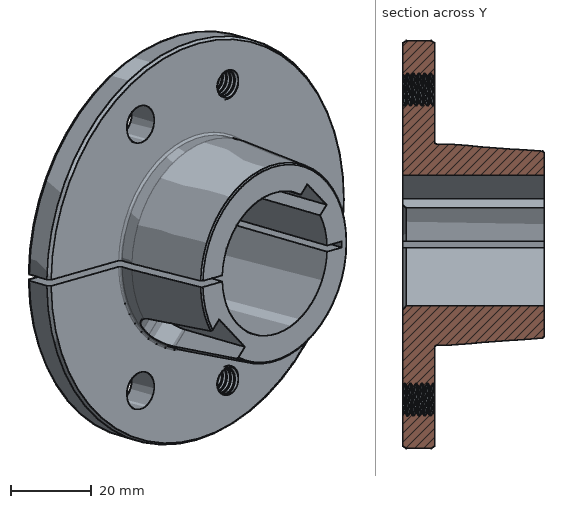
import cadquery as cq
import math

INCH = 25.4

flange_diameter = 4.0625 * INCH
flange_thickness = 0.3125 * INCH
flange_chamfer_axial = 0.9
flange_chamfer_radial = 0.6

total_length = 35.0
hub_diameter = 2.125 * INCH
hub_end_diameter = 2.0 * INCH
hub_straight_end = 12.0
hub_root_fillet = 0.6
hub_end_chamfer = 0.4

bore_diameter = 1.4375 * INCH
bore_chamfer = 0.9
keyway_width = 0.375 * INCH
keyway_bottom = 20.8

key_slot_width = 0.5 * INCH
key_slot_floor = 21.0
key_slot_start = 9.0
key_slot_corner = 5.0
key_angle = 45.0

split_width = 0.0625 * INCH
split_end = 23.4

bolt_circle_radius = 3.125 * INCH / 2
bolt_hole_diameter = 0.375 * INCH
bolt_hole_angles = (0.0, 120.0, 240.0)
jack_hole_angle = 75.0
drill_overrun = 4.0

thread_pitch = INCH / 18
thread_minor_radius = 6.6 / 2
thread_major_radius = 0.3125 * INCH / 2
groove_bottom_width = thread_pitch / 8
groove_mouth_width = thread_pitch * 7 / 8
thread_overlap = 0.2
thread_phase = 230.0

flange_radius = flange_diameter / 2
hub_radius = hub_diameter / 2
hub_end_radius = hub_end_diameter / 2
bore_radius = bore_diameter / 2


def make_body():
    """Flange and tapered hub, turned about the X axis."""
    fillet_middle = hub_root_fillet * (1 - math.sqrt(0.5))
    profile = (
        cq.Workplane("XY")
        .moveTo(0, bore_radius + bore_chamfer)
        .lineTo(0, flange_radius - flange_chamfer_radial)
        .lineTo(flange_chamfer_axial, flange_radius)
        .lineTo(flange_thickness - flange_chamfer_axial, flange_radius)
        .lineTo(flange_thickness, flange_radius - flange_chamfer_radial)
        .lineTo(flange_thickness, hub_radius + hub_root_fillet)
        .threePointArc(
            (flange_thickness + fillet_middle, hub_radius + fillet_middle),
            (flange_thickness + hub_root_fillet, hub_radius),
        )
        .lineTo(hub_straight_end, hub_radius)
        .lineTo(total_length - hub_end_chamfer, hub_end_radius)
        .lineTo(total_length, hub_end_radius - hub_end_chamfer)
        .lineTo(total_length, bore_radius)
        .lineTo(bore_chamfer, bore_radius)
        .close()
    )
    return profile.revolve(360, (0, 0, 0), (1, 0, 0))


def block(x_range, y_range, width):
    """Box spanning the given X and Y ranges, centred on Z = 0."""
    length = x_range[1] - x_range[0]
    depth = y_range[1] - y_range[0]
    return (
        cq.Workplane("XY")
        .box(length, depth, width, centered=(False, False, True))
        .translate((x_range[0], y_range[0], 0))
    )


def about_x(shape, angle):
    """Turn a shape about the X axis; positive angles go from +Y to +Z."""
    return shape.rotate((0, 0, 0), (1, 0, 0), angle)


def make_keyway():
    keyway = block((0, total_length), (0, keyway_bottom), keyway_width)
    return about_x(keyway, key_angle)


def make_key_slot():
    slot = block((key_slot_start, total_length), (key_slot_floor, flange_radius), key_slot_width)
    slot = slot.edges("|Y and <X").fillet(key_slot_corner)
    return about_x(slot, key_angle + 180)


def make_split():
    return block((0, total_length), (-flange_radius, split_end), split_width)


def hole(radius, angle):
    """Drill through the flange on the bolt circle, standing out past both faces."""
    cylinder = (
        cq.Workplane("YZ", origin=(-drill_overrun, 0, 0))
        .center(bolt_circle_radius, 0)
        .circle(radius)
        .extrude(flange_thickness + 2 * drill_overrun)
    )
    return about_x(cylinder, angle)


def make_thread_groove():
    """Helical thread groove of the upper jack hole, running past both flange faces."""
    inner_radius = thread_minor_radius - thread_overlap
    length = flange_thickness + 2 * thread_pitch
    helix = cq.Wire.makeHelix(thread_pitch, length, inner_radius)
    groove = (
        cq.Workplane("XZ")
        .moveTo(inner_radius, -groove_mouth_width / 2)
        .lineTo(thread_major_radius, -groove_bottom_width / 2)
        .lineTo(thread_major_radius, groove_bottom_width / 2)
        .lineTo(inner_radius, groove_mouth_width / 2)
        .close()
        .sweep(cq.Workplane(obj=helix), isFrenet=True)
    )
    hole_angle = math.radians(jack_hole_angle)
    center_y = bolt_circle_radius * math.cos(hole_angle)
    center_z = bolt_circle_radius * math.sin(hole_angle)
    return (
        groove
        .rotate((0, 0, 0), (0, 1, 0), 90)
        .rotate((0, 0, 0), (1, 0, 0), thread_phase)
        .translate((-thread_pitch, center_y, center_z))
    )


result = make_body()
result = result.cut(make_keyway()).cut(make_key_slot()).cut(make_split())

for bolt_angle in bolt_hole_angles:
    result = result.cut(hole(bolt_hole_diameter / 2, bolt_angle))

thread_groove = make_thread_groove()
result = result.cut(thread_groove).cut(thread_groove.mirror("XY"))
for side in (1, -1):
    result = result.cut(hole(thread_minor_radius, side * jack_hole_angle))